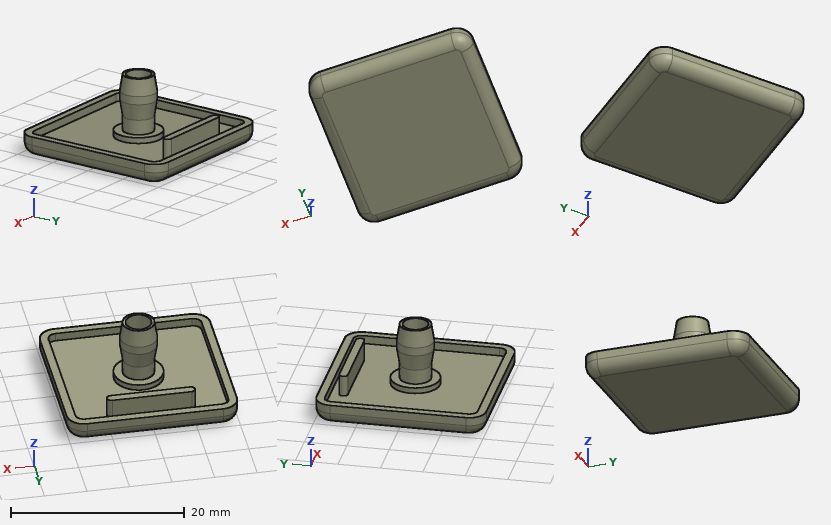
import cadquery as cq

tray_size = 20.0
tray_height = 2.5
tray_corner_radius = 2.0
bottom_edge_radius = 1.5
rim_width = 1.0
floor_z = 1.5
cavity_size = tray_size - 2 * rim_width
cavity_corner_radius = tray_corner_radius - rim_width

rib_length = 10.35
rib_thickness = 1.0
rib_center_y = 7.5
rib_top_z = 4.0

collar_radius = 5.8 / 2
collar_top_z = 2.2
stem_radius = 3.7 / 2
barb_radius = 4.35 / 2
barb_start_z = rib_top_z
barb_full_z = 6.0
barb_taper_z = 7.0
post_top_z = 9.0

bore_radius = 3.0 / 2
bore_round_z = barb_start_z


def make_tray():
    body = (
        cq.Workplane("XY")
        .rect(tray_size, tray_size)
        .extrude(tray_height)
        .edges("|Z")
        .fillet(tray_corner_radius)
        .faces("<Z")
        .edges()
        .fillet(bottom_edge_radius)
    )
    cavity = (
        cq.Workplane("XY", origin=(0, 0, floor_z))
        .rect(cavity_size, cavity_size)
        .extrude(tray_height - floor_z)
        .edges("|Z")
        .fillet(cavity_corner_radius)
    )
    return body.cut(cavity)


def make_rib():
    return (
        cq.Workplane("XY", origin=(0, rib_center_y, floor_z))
        .slot2D(rib_length, rib_thickness)
        .extrude(rib_top_z - floor_z)
    )


def make_post():
    return (
        cq.Workplane("XZ")
        .moveTo(0, floor_z)
        .lineTo(collar_radius, floor_z)
        .lineTo(collar_radius, collar_top_z)
        .lineTo(stem_radius, collar_top_z)
        .lineTo(stem_radius, barb_start_z)
        .lineTo(barb_radius, barb_full_z)
        .lineTo(barb_radius, barb_taper_z)
        .lineTo(stem_radius, post_top_z)
        .lineTo(0, post_top_z)
        .close()
        .revolve(360, (0, 0), (0, 1))
    )


def make_bore():
    shaft = (
        cq.Workplane("XY", origin=(0, 0, bore_round_z))
        .circle(bore_radius)
        .extrude(post_top_z - bore_round_z)
    )
    round_end = cq.Workplane("XY", origin=(0, 0, bore_round_z)).sphere(bore_radius)
    return shaft.union(round_end)


result = make_tray().union(make_rib()).union(make_post()).cut(make_bore())